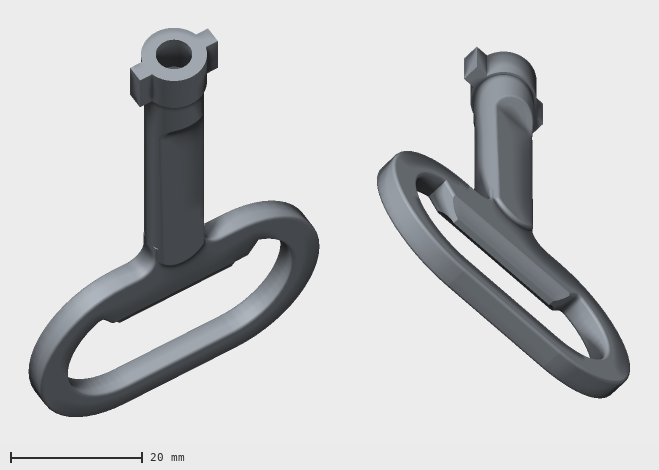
import cadquery as cq
import math

total_height = 80.25
plate_thickness = 4.0
edge_radius = 0.5
overcut = 4.0

ring_length = 50.1
ring_height = 30.0
ring_mid_z = ring_height / 2

window_length = 40.2
window_height = 21.2

lip_half_length = 10.0
lip_bottom_z = 19.3
lip_slope = math.radians(53)
lip_thickness = 1.0
lip_cove_radius = 4.0
window_corner_radius = 0.8

shank_radius = 9.1 / 2
neck_half_width = 4.4
neck_fillet_radius = 3.0
neck_top_z = 35.55
flat_half_width_bottom = 2.8
flat_half_width_top = 2.3
flat_top_z = 63.4
flat_cove_radius = 4.0

head_height = 6.9
head_radius = 10.0 / 2
key_length = 14.0
key_width = 2.8
bore_diameter = 5.5
bore_depth = head_height

shank_top_z = total_height - head_height


def slab(outline, thickness):
    """Extrude a YZ outline to a slab centred on X = 0."""
    return outline.extrude(thickness / 2, both=True)


def stadium(length, height, thickness):
    """Slab with two straight edges along Y and semicircular ends."""
    outline = cq.Workplane("YZ").center(0, ring_mid_z).slot2D(length, height)
    return slab(outline, thickness)


def make_neck():
    """Web that joins the ring to the shank with a concave fillet on each side."""
    foot_half_width = neck_half_width + neck_fillet_radius
    fillet_top_z = ring_height + neck_fillet_radius
    arc_offset = neck_fillet_radius * (1 - math.sqrt(0.5))
    arc_mid_y = neck_half_width + arc_offset
    arc_mid_z = ring_height + arc_offset
    outline = (
        cq.Workplane("YZ")
        .moveTo(-foot_half_width, ring_mid_z)
        .lineTo(foot_half_width, ring_mid_z)
        .lineTo(foot_half_width, ring_height)
        .threePointArc((arc_mid_y, arc_mid_z), (neck_half_width, fillet_top_z))
        .lineTo(neck_half_width, neck_top_z)
        .lineTo(-neck_half_width, neck_top_z)
        .lineTo(-neck_half_width, fillet_top_z)
        .threePointArc((-arc_mid_y, arc_mid_z), (-foot_half_width, ring_height))
        .close()
    )
    return slab(outline, plate_thickness)


def make_window():
    """Stadium opening with the sloped opener bridge left standing at its top."""
    bridge_rise = ring_height - lip_bottom_z
    bridge_top_half = lip_half_length + bridge_rise / math.tan(lip_slope)
    outline = cq.Workplane("YZ").polyline([
        (-lip_half_length, lip_bottom_z),
        (lip_half_length, lip_bottom_z),
        (bridge_top_half, ring_height),
        (-bridge_top_half, ring_height),
    ]).close()
    bridge = slab(outline, plate_thickness + overcut)
    window = stadium(window_length, window_height, plate_thickness).cut(bridge)
    return window.edges("|X").edges(">Z").edges("<Y").fillet(window_corner_radius)


def make_lip_coves():
    """Cylinders that thin the opener lip from both faces."""
    cove_x = lip_thickness / 2 + lip_cove_radius
    cove_length = 3 * lip_half_length
    return (
        cq.Workplane("XZ")
        .workplane(offset=-cove_length / 2)
        .pushPoints([(-cove_x, lip_bottom_z), (cove_x, lip_bottom_z)])
        .circle(lip_cove_radius)
        .extrude(cove_length)
    )


def make_handle():
    """Ring, neck and opener lip as one plate with rounded face edges."""
    ring = stadium(ring_length, ring_height, plate_thickness)
    plate = ring.union(make_neck()).cut(make_window())
    plate = plate.faces("<X or >X").edges("not(>Z)").fillet(edge_radius)
    return plate.cut(make_lip_coves())


def make_flat_cutter():
    """Cutter for the tapered flat on the +X side, ending in a concave run-out."""
    far_x = flat_half_width_top + flat_cove_radius
    arc_offset = flat_cove_radius * math.sqrt(0.5)
    return (
        cq.Workplane("XZ")
        .moveTo(far_x, ring_height - overcut)
        .lineTo(flat_half_width_bottom, ring_height - overcut)
        .lineTo(flat_half_width_bottom, ring_height)
        .lineTo(flat_half_width_top, flat_top_z)
        .threePointArc(
            (far_x - arc_offset, flat_top_z + arc_offset),
            (far_x, flat_top_z + flat_cove_radius),
        )
        .close()
        .extrude(2 * shank_radius, both=True)
    )


def make_shank():
    """Round shank with a rounded lower end, milled flat on both broad sides."""
    bottom_centre_z = ring_height + shank_radius
    column = (
        cq.Workplane("XY")
        .workplane(offset=ring_height)
        .circle(shank_radius)
        .extrude(shank_top_z - ring_height)
    )
    outline = (
        cq.Workplane("YZ")
        .moveTo(-shank_radius, bottom_centre_z)
        .threePointArc((0, ring_height), (shank_radius, bottom_centre_z))
        .lineTo(shank_radius, shank_top_z)
        .lineTo(-shank_radius, shank_top_z)
        .close()
    )
    shank = column.intersect(slab(outline, 2 * shank_radius))
    flat_cutter = make_flat_cutter()
    shank = shank.cut(flat_cutter).cut(flat_cutter.mirror("YZ"))
    side_flats = shank.faces("%PLANE").faces("not |Z")
    return side_flats.edges().fillet(edge_radius)


def make_head():
    """Key head: a round boss with a tab on each side."""
    base = cq.Workplane("XY").workplane(offset=shank_top_z)
    boss = base.circle(head_radius).extrude(head_height)
    tabs = base.rect(key_width, key_length).extrude(head_height)
    return boss.union(tabs)


def make_bore():
    """Blind socket in the end of the key head."""
    return (
        cq.Workplane("XY")
        .workplane(offset=total_height - bore_depth)
        .circle(bore_diameter / 2)
        .extrude(bore_depth)
    )


result = make_handle().union(make_shank()).union(make_head()).cut(make_bore())